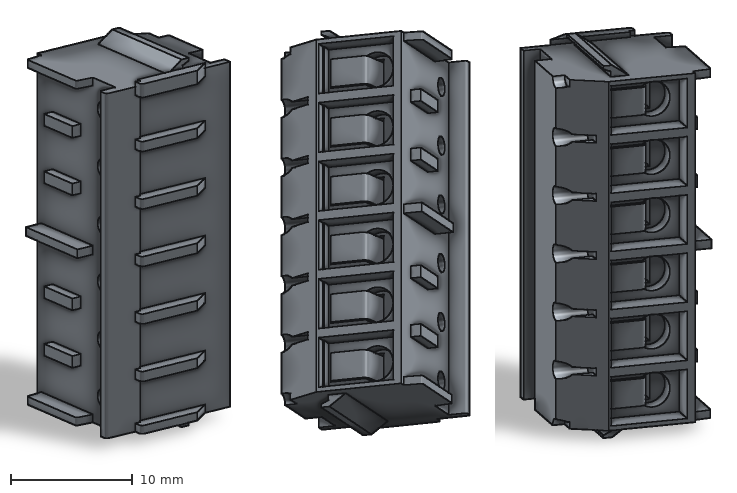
import cadquery as cq
import math

TOTAL_HEIGHT = 32.0
HOOK_RISE = 1.0
WAYS = 6
BODY_HEIGHT = TOTAL_HEIGHT - 2 * HOOK_RISE
PITCH = BODY_HEIGHT / WAYS
BODY_TOP = BODY_HEIGHT / 2
WAY_CENTRES = [-BODY_TOP + PITCH * (i + 0.5) for i in range(WAYS)]
WAY_BORDERS = [-BODY_TOP + PITCH * i for i in range(1, WAYS)]

TOTAL_WIDTH = 12.4
TOTAL_DEPTH = 13.0
FRONT_Y = 1.6
UPPER_WALL_X = 11.25
LOWER_WALL_X = 11.6
WALL_STEP_Y = 3.45
CHAMFER_WIDTH = 2.05
CHAMFER_START_Y = 9.12
BACK_CHANNEL_LEFT = 7.5
BACK_CHANNEL_RIGHT = 10.45
BACK_CHANNEL_DEPTH = 1.45
FOOT_LEFT = 10.65
FOOT_DRAFT = 0.048
FOOT_OUTER_ROUND = 0.25
EDGE_ROUND = 0.2

LONG_RIB_LEFT = 0.58
LONG_RIB_RIGHT = 7.6
LONG_RIB_HEIGHT = 0.77
END_RIB_HEIGHT = 0.7
END_RIB_DRAFT = 0.15
SHORT_RIB_LEFT = 2.15
SHORT_RIB_RIGHT = 6.0
SHORT_RIB_HEIGHT = 1.02
SHORT_RIB_RISE = 0.9

PIN_HOLE_X = 9.02
PIN_HOLE_DIAMETER = 1.55
PIN_HOLE_DEPTH = 0.8

ENTRY_LOW_Y = 2.3
ENTRY_HIGH_Y = 8.8
ENTRY_HEIGHT = 4.22
ENTRY_DEPTH = 2.05
ENTRY_LEDGE_DEPTH = 1.0
ENTRY_LEDGE_WIDTH = 0.1
WIRE_BORE_Y = 4.6
WIRE_BORE_DIAMETER = 2.98
WIRE_BORE_DEPTH = 1.28

CLAMP_HEIGHT = 2.37
CLAMP_RISE = 0.4
CLAMP_HIGH_Y = 8.6
CLAMP_NOSE_TOP_Y = 5.73
CLAMP_RAMP_FOOT_Y = 4.45
CLAMP_NOSE_WIDTH = 0.5
CLAMP_RAMP_ANGLE = math.radians(80)
CLAMP_FRONT_X = ENTRY_DEPTH - CLAMP_RISE
CLAMP_NOSE_RADIUS = CLAMP_NOSE_WIDTH / math.sin(CLAMP_RAMP_ANGLE)
CLAMP_RAMP_WIDTH = CLAMP_NOSE_TOP_Y - CLAMP_NOSE_WIDTH - CLAMP_RAMP_FOOT_Y
CLAMP_NOSE_END_X = CLAMP_FRONT_X + CLAMP_NOSE_RADIUS * (1 - math.cos(CLAMP_RAMP_ANGLE))
CLAMP_RAMP_FOOT_X = CLAMP_NOSE_END_X + CLAMP_RAMP_WIDTH * math.tan(CLAMP_RAMP_ANGLE)

GROOVE_X = 2.1
GROOVE_RADIUS = 0.77
GROOVE_DEPTH = 2.98
GROOVE_SLOT_HEIGHT = 0.65
END_GROOVE_DEPTH = 1.02
END_GROOVE_SLOT_HEIGHT = 1.15

TAB_LOW_Y = 2.98
TAB_HIGH_Y = 10.4
TAB_SLOPE_Y = 8.75
TAB_ROUND = 0.3
TAB_HEIGHT = 0.85
END_TAB_INSET = 0.75
TOP_TAB_RISE = 0.45

HOOK_LEFT = 1.2
HOOK_RIGHT = 10.7
HOOK_TIP_Y = 9.15
HOOK_TIP_THICKNESS = 0.25
HOOK_CREST_Y = 8.4
HOOK_FOOT_Y = 6.98
HOOK_NECK_Y = 8.5
HOOK_NECK_RISE = 0.45


def box(x_range, y_range, z_range):
    """Axis-aligned block between the given limits."""
    size = [high - low for low, high in (x_range, y_range, z_range)]
    corner = (x_range[0], y_range[0], z_range[0])
    return cq.Workplane("XY").box(*size, centered=False).translate(corner)


def centred(middle, height):
    """Limits of a span of the given height around a middle."""
    return (middle - height / 2, middle + height / 2)


def plate(points, z_range):
    """Closed XY outline extruded over a Z range."""
    low, high = z_range
    return cq.Workplane("XY").workplane(offset=low).polyline(points).close().extrude(high - low)


def round_upright_edge(solid, x, y, radius):
    """Fillet the edge along Z that passes nearest to (x, y) at mid height."""
    nearest = cq.selectors.NearestToPointSelector((x, y, 0))
    return solid.edges("|Z").edges(nearest).fillet(radius)


def make_body():
    channel_floor_y = TOTAL_DEPTH - BACK_CHANNEL_DEPTH
    outline = [
        (0, FRONT_Y),
        (FOOT_LEFT, FRONT_Y),
        (FOOT_LEFT, 0),
        (LOWER_WALL_X - FOOT_DRAFT, 0),
        (LOWER_WALL_X, WALL_STEP_Y),
        (UPPER_WALL_X, WALL_STEP_Y),
        (UPPER_WALL_X, TOTAL_DEPTH),
        (BACK_CHANNEL_RIGHT, TOTAL_DEPTH),
        (BACK_CHANNEL_RIGHT, channel_floor_y),
        (BACK_CHANNEL_LEFT, channel_floor_y),
        (BACK_CHANNEL_LEFT, TOTAL_DEPTH),
        (CHAMFER_WIDTH, TOTAL_DEPTH),
        (0, CHAMFER_START_Y),
    ]
    body = plate(outline, (-BODY_TOP, BODY_TOP))
    body = round_upright_edge(body, FOOT_LEFT, 0, EDGE_ROUND)
    return round_upright_edge(body, LOWER_WALL_X - FOOT_DRAFT, 0, FOOT_OUTER_ROUND)


def make_long_rib(z_range):
    return box((LONG_RIB_LEFT, LONG_RIB_RIGHT), (0, FRONT_Y), z_range)


def make_end_rib(z_range):
    """Long rib with drafted sides and rounded front corners."""
    outline = [
        (LONG_RIB_LEFT, FRONT_Y),
        (LONG_RIB_LEFT + END_RIB_DRAFT, 0),
        (LONG_RIB_RIGHT - END_RIB_DRAFT, 0),
        (LONG_RIB_RIGHT, FRONT_Y),
    ]
    return plate(outline, z_range).edges("|Z and <Y").fillet(EDGE_ROUND)


def make_short_rib(middle):
    y_range = (FRONT_Y - SHORT_RIB_RISE, FRONT_Y)
    return box((SHORT_RIB_LEFT, SHORT_RIB_RIGHT), y_range, centred(middle, SHORT_RIB_HEIGHT))


def make_tab(z_range):
    outline = [
        (UPPER_WALL_X, WALL_STEP_Y),
        (LOWER_WALL_X, WALL_STEP_Y),
        (LOWER_WALL_X - FOOT_DRAFT, TAB_LOW_Y),
        (TOTAL_WIDTH, TAB_LOW_Y),
        (TOTAL_WIDTH, TAB_SLOPE_Y),
        (UPPER_WALL_X, TAB_HIGH_Y),
    ]
    return plate(outline, z_range).edges("|Z and >X and <Y").fillet(TAB_ROUND)


def make_top_hook():
    outline = [
        (HOOK_FOOT_Y, BODY_TOP),
        (HOOK_CREST_Y, BODY_TOP + HOOK_RISE),
        (HOOK_TIP_Y, BODY_TOP + HOOK_RISE),
        (HOOK_TIP_Y, BODY_TOP + HOOK_RISE - HOOK_TIP_THICKNESS),
        (HOOK_NECK_Y, BODY_TOP + HOOK_NECK_RISE),
        (HOOK_NECK_Y, BODY_TOP),
    ]
    section = cq.Workplane("YZ").workplane(offset=HOOK_LEFT).polyline(outline).close()
    return section.extrude(HOOK_RIGHT - HOOK_LEFT)


def make_pin_hole(middle):
    face = cq.Workplane("XZ", origin=(PIN_HOLE_X, FRONT_Y, middle))
    return face.circle(PIN_HOLE_DIAMETER / 2).extrude(-PIN_HOLE_DEPTH)


def make_clamp_slot():
    """Slot around Z = 0 that holds the clamp bar and runs as deep as the foot of its ramp."""
    x_range = (ENTRY_DEPTH, CLAMP_RAMP_FOOT_X)
    return box(x_range, (CLAMP_RAMP_FOOT_Y, CLAMP_HIGH_Y), centred(0, CLAMP_HEIGHT))


def make_clamp():
    """Clamp bar around Z = 0, with a rounded heel and nose and a ramp down into its slot."""
    heel_offset = CLAMP_RISE * (1 - math.sqrt(0.5))
    half_angle = CLAMP_RAMP_ANGLE / 2
    nose_middle = (
        CLAMP_FRONT_X + CLAMP_NOSE_RADIUS * (1 - math.cos(half_angle)),
        CLAMP_NOSE_TOP_Y - CLAMP_NOSE_RADIUS * math.sin(half_angle),
    )
    section = (
        cq.Workplane("XY")
        .workplane(offset=-CLAMP_HEIGHT / 2)
        .moveTo(CLAMP_RAMP_FOOT_X, CLAMP_HIGH_Y)
        .lineTo(ENTRY_DEPTH, CLAMP_HIGH_Y)
        .threePointArc(
            (CLAMP_FRONT_X + heel_offset, CLAMP_HIGH_Y - heel_offset),
            (CLAMP_FRONT_X, CLAMP_HIGH_Y - CLAMP_RISE),
        )
        .lineTo(CLAMP_FRONT_X, CLAMP_NOSE_TOP_Y)
        .threePointArc(nose_middle, (CLAMP_NOSE_END_X, CLAMP_NOSE_TOP_Y - CLAMP_NOSE_WIDTH))
        .lineTo(CLAMP_RAMP_FOOT_X, CLAMP_RAMP_FOOT_Y)
        .close()
    )
    return section.extrude(CLAMP_HEIGHT)


def make_entry(middle):
    """Space removed by one wire entry: pocket, ledge, bore and slot around the clamp bar."""
    z_range = centred(0, ENTRY_HEIGHT)
    pocket = box((0, ENTRY_DEPTH), (ENTRY_LOW_Y, ENTRY_HIGH_Y), z_range)
    ledge = box((0, ENTRY_LEDGE_DEPTH), (ENTRY_LOW_Y, ENTRY_HIGH_Y + ENTRY_LEDGE_WIDTH), z_range)
    bore_face = cq.Workplane("YZ", origin=(ENTRY_DEPTH, WIRE_BORE_Y, 0))
    bore = bore_face.circle(WIRE_BORE_DIAMETER / 2).extrude(WIRE_BORE_DEPTH)
    space = pocket.union(ledge).union(bore).union(make_clamp_slot())
    return space.cut(make_clamp()).translate((0, 0, middle))


def make_groove(middle, depth, slot_height):
    """Round groove running in from the back, opened to -X by a slot."""
    face = cq.Workplane("XZ", origin=(GROOVE_X, TOTAL_DEPTH, middle))
    bore = face.circle(GROOVE_RADIUS).extrude(depth)
    y_range = (TOTAL_DEPTH - depth, TOTAL_DEPTH)
    return bore.union(box((0, GROOVE_X), y_range, centred(middle, slot_height)))


result = make_body()

result = result.union(make_tab((-BODY_TOP, -BODY_TOP + END_TAB_INSET)))
result = result.union(make_tab((BODY_TOP - END_TAB_INSET, BODY_TOP + TOP_TAB_RISE)))
for border in WAY_BORDERS:
    result = result.union(make_tab(centred(border, TAB_HEIGHT)))

result = result.union(make_end_rib((-BODY_TOP, -BODY_TOP + END_RIB_HEIGHT)))
result = result.union(make_end_rib((BODY_TOP - END_RIB_HEIGHT, BODY_TOP)))
middle_border = WAYS // 2 - 1
for index, border in enumerate(WAY_BORDERS):
    if index == middle_border:
        result = result.union(make_long_rib(centred(border, LONG_RIB_HEIGHT)))
    else:
        result = result.union(make_short_rib(border))

top_hook = make_top_hook()
result = result.union(top_hook).union(top_hook.mirror("XY"))

for way in WAY_CENTRES:
    result = result.cut(make_entry(way)).cut(make_pin_hole(way))

for border in WAY_BORDERS:
    result = result.cut(make_groove(border, GROOVE_DEPTH, GROOVE_SLOT_HEIGHT))
for end in (-BODY_TOP, BODY_TOP):
    result = result.cut(make_groove(end, END_GROOVE_DEPTH, END_GROOVE_SLOT_HEIGHT))